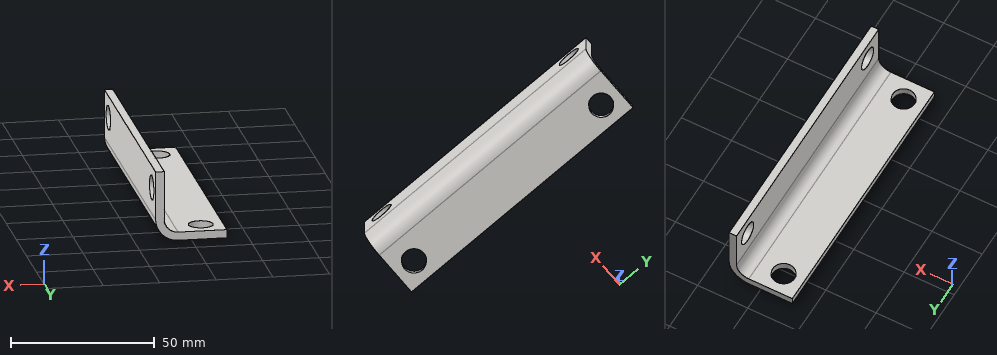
import cadquery as cq

length = 101.6
leg = 25.3
thickness = 3.0
inner_radius = 4.9
hole_diameter = 8.6
hole_inset = 7.9

outer_radius = inner_radius + thickness
hole_spacing = length - 2 * hole_inset


def bent_strip():
    """L-shaped strip: floor along X, wall at +X, joined by a round bend."""
    profile = (
        cq.Workplane("XZ")
        .moveTo(0, 0)
        .lineTo(leg - outer_radius, 0)
        .radiusArc((leg, outer_radius), -outer_radius)
        .lineTo(leg, leg)
        .lineTo(leg - thickness, leg)
        .lineTo(leg - thickness, outer_radius)
        .radiusArc((leg - outer_radius, thickness), inner_radius)
        .lineTo(0, thickness)
        .close()
    )
    return profile.extrude(length / 2, both=True)


def hole_pair(plane, across):
    """Two cylinders spaced along Y, long enough to pass through one leg."""
    centres = [(across, -hole_spacing / 2), (across, hole_spacing / 2)]
    if plane == "YZ":
        centres = [(y, z) for z, y in centres]
    return cq.Workplane(plane).pushPoints(centres).circle(hole_diameter / 2).extrude(leg)


floor_holes = hole_pair("XY", hole_inset)
wall_holes = hole_pair("YZ", leg - hole_inset)

result = bent_strip().cut(floor_holes).cut(wall_holes)